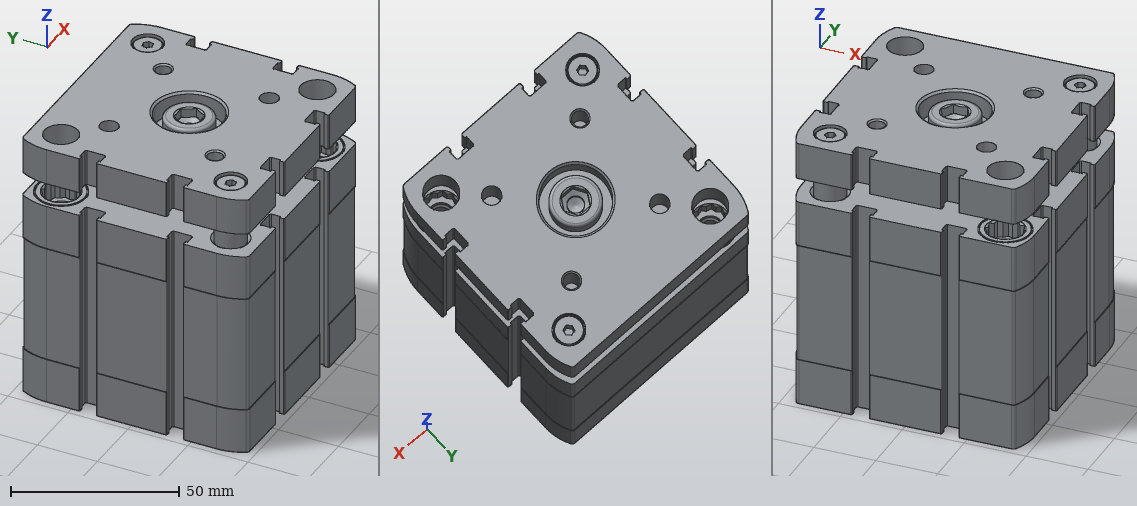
import cadquery as cq
import math

SIDE = 75.5
TOTAL_HEIGHT = 89.0
BODY_HEIGHT = 69.0
PLATE_THICKNESS = 12.0
PLATE_BOTTOM = TOTAL_HEIGHT - PLATE_THICKNESS
HALF_SIDE = SIDE / 2

CORNER_ARC_START = 28.4
CORNER_ARC_RADIUS = 18.0
CORNER_FILLET = 1.3

CAP_HEIGHT = 15.0
BARREL_INSET = 0.25

SLOT_OFFSET = 14.5
SLOT_MOUTH = 5.5
SLOT_WIDTH = 6.8
SLOT_DEPTH = 5.1
SLOT_LIP = 1.6
SLOT_CORNER_CHAMFER = 0.4
SLOT_MOUTH_CHAMFER = 0.3

CORNER_OFFSET = 80.0 / 2 / math.sqrt(2)
ROD_CORNERS = [(-CORNER_OFFSET, -CORNER_OFFSET), (CORNER_OFFSET, CORNER_OFFSET)]
SCREW_CORNERS = [(-CORNER_OFFSET, CORNER_OFFSET), (CORNER_OFFSET, -CORNER_OFFSET)]

GUIDE_DIAMETER = 10.0
GUIDE_BOTTOM = CAP_HEIGHT
GUIDE_TOP = TOTAL_HEIGHT - 0.6
GUIDE_END_DIAMETER = 9.2
GUIDE_END_CHAMFER = 0.3
GUIDE_RECESS_DEPTH = 1.35
GUIDE_HEX_FLATS = 3.0
GUIDE_HEX_DEPTH = 4.0
GUIDE_HEX_TURN = 15.0
GUIDE_MOUTH_DIAMETER = 12.0

SCREW_DIAMETER = 15.5
SCREW_SEAT_DIAMETER = 16.4
SCREW_GROOVE_DEPTH = 0.5
SCREW_HEX_FLATS = 10.6
SCREW_HEX_DEPTH = 6.0
SCREW_HEX_MOUTH = 12.4
SCREW_HEX_TURNS = (15.0, 45.0)
SCREW_BORE = 6.65
SCREW_BORE_MOUTH = 8.0
SCREW_BORE_MOUTH_DEPTH = 2.0

PISTON_DIAMETER = 16.0
PISTON_BOTTOM = CAP_HEIGHT
PISTON_TOP = TOTAL_HEIGHT - 1.2
PISTON_END_FILLET = 1.0
PISTON_FLATS = 13.0
FLATS_BOTTOM = BODY_HEIGHT + 1.4
FLATS_RUNOUT = 0.8
PISTON_HEX_FLATS = 8.0
PISTON_HEX_DEPTH = 3.2
PISTON_HEX_MOUTH = 9.4
PISTON_MOUTH_SLOPE = 0.5
PISTON_CONE_SLOPE = 0.6
PISTON_DRILL_DIAMETER = 5.3
PISTON_DRILL_DEPTH = 1.0

CENTRE_BORE = 22.0
CENTRE_BORE_CHAMFER = 0.7
CENTRE_BORE_DEPTH = 7.0
ACCESS_HOLE = 11.0
FIXING_OFFSET = 50.0 / 2 / math.sqrt(2)
DOWEL_HOLE = 6.0
THREAD_HOLE = 5.0
THREAD_MOUTH = 6.0

CENTRE = [(0, 0)]


def square_prism(bottom, height, inset=0.0):
    """Upright block with the rounded square outline, moved inwards by inset."""
    half = HALF_SIDE - inset
    radius = CORNER_ARC_RADIUS - inset
    end_angle = math.asin((half - CORNER_ARC_START) / radius)

    def arc_point(angle):
        x = half - radius * (1 - math.cos(angle))
        y = CORNER_ARC_START + radius * math.sin(angle)
        return x, y

    mid_x, mid_y = arc_point(end_angle / 2)
    end_x, end_y = arc_point(end_angle)
    block = (
        cq.Workplane("XY", origin=(0, 0, bottom))
        .moveTo(end_x, -end_y)
        .threePointArc((mid_x, -mid_y), (half, -CORNER_ARC_START))
        .lineTo(half, CORNER_ARC_START)
        .threePointArc((mid_x, mid_y), (end_x, end_y))
        .lineTo(-end_x, end_y)
        .threePointArc((-mid_x, mid_y), (-half, CORNER_ARC_START))
        .lineTo(-half, -CORNER_ARC_START)
        .threePointArc((-mid_x, -mid_y), (-end_x, -end_y))
        .close()
        .extrude(height)
    )
    corner_edges = block.edges("|Z and (>Y or <Y)")
    return corner_edges.fillet(CORNER_FILLET - inset)


def t_slots(bottom, height):
    """Cutters for the six T-slots: two each on the -Y, -X and +X faces."""
    half_mouth = SLOT_MOUTH / 2
    half_flare = half_mouth + SLOT_MOUTH_CHAMFER
    undercut_depth = SLOT_DEPTH - SLOT_LIP
    undercut = (
        cq.Workplane("XY")
        .rect(SLOT_WIDTH, undercut_depth)
        .extrude(height)
        .edges("|Z and >Y")
        .chamfer(SLOT_CORNER_CHAMFER)
        .translate((0, SLOT_LIP + undercut_depth / 2 - HALF_SIDE, 0))
    )
    mouth = (
        cq.Workplane("XY", origin=(0, -HALF_SIDE, 0))
        .moveTo(-half_flare, 0)
        .lineTo(-half_mouth, SLOT_MOUTH_CHAMFER)
        .lineTo(-half_mouth, SLOT_DEPTH)
        .lineTo(half_mouth, SLOT_DEPTH)
        .lineTo(half_mouth, SLOT_MOUTH_CHAMFER)
        .lineTo(half_flare, 0)
        .close()
        .extrude(height)
    )
    slot = undercut.union(mouth)
    cutters = cq.Workplane("XY")
    for turn in (-90, 0, 90):
        for offset in (-SLOT_OFFSET, SLOT_OFFSET):
            placed = slot.translate((offset, 0, bottom)).rotate((0, 0, 0), (0, 0, 1), turn)
            cutters = cutters.add(placed)
    return cutters.combine()


def cylinders(points, diameter, bottom, top):
    """Upright cylinders at the given points."""
    base = cq.Workplane("XY", origin=(0, 0, bottom))
    return base.pushPoints(points).circle(diameter / 2).extrude(top - bottom)


def cones(points, lower_diameter, upper_diameter, top, slope=1.0):
    """Upright cones ending at top; slope is their height per unit of radius."""
    depth = abs(upper_diameter - lower_diameter) / 2 * slope
    cone = cq.Solid.makeCone(lower_diameter / 2, upper_diameter / 2, depth)
    placed = cq.Workplane("XY", origin=(0, 0, top - depth)).pushPoints(points)
    return placed.eachpoint(lambda location: cone.moved(location), combine=False).combine()


def hex_prisms(points, flats, depth, top, turn=0.0):
    """Upright hexagonal prisms ending at top; turn is the angle of their first corner."""
    corner_diameter = flats / math.cos(math.pi / 6)
    prism = cq.Workplane("XY").polygon(6, corner_diameter).extrude(depth)
    prism = prism.rotate((0, 0, 0), (0, 0, 1), turn).val()
    placed = cq.Workplane("XY", origin=(0, 0, top - depth)).pushPoints(points)
    return placed.eachpoint(lambda location: prism.moved(location), combine=False).combine()


def make_housing():
    """Cylinder housing: barrel, end caps, bearing screws and rod holes."""
    barrel_top = BODY_HEIGHT - CAP_HEIGHT
    housing = square_prism(0, CAP_HEIGHT)
    housing = housing.union(square_prism(CAP_HEIGHT, barrel_top - CAP_HEIGHT, BARREL_INSET))
    housing = housing.union(square_prism(barrel_top, CAP_HEIGHT))
    housing = housing.cut(t_slots(0, BODY_HEIGHT))

    housing = housing.cut(cylinders(CENTRE, PISTON_DIAMETER, PISTON_BOTTOM, BODY_HEIGHT))
    housing = housing.cut(cylinders(ROD_CORNERS, GUIDE_DIAMETER, GUIDE_BOTTOM, BODY_HEIGHT))
    housing = housing.cut(cones(ROD_CORNERS, GUIDE_DIAMETER, GUIDE_MOUTH_DIAMETER, BODY_HEIGHT))

    groove_bottom = BODY_HEIGHT - SCREW_GROOVE_DEPTH
    groove = cylinders(SCREW_CORNERS, SCREW_SEAT_DIAMETER, groove_bottom, BODY_HEIGHT)
    groove = groove.cut(cylinders(SCREW_CORNERS, SCREW_DIAMETER, groove_bottom, BODY_HEIGHT))
    housing = housing.cut(groove)
    for turn in SCREW_HEX_TURNS:
        socket = hex_prisms(SCREW_CORNERS, SCREW_HEX_FLATS, SCREW_HEX_DEPTH, BODY_HEIGHT, turn)
        housing = housing.cut(socket)
    housing = housing.cut(cones(SCREW_CORNERS, SCREW_BORE, SCREW_HEX_MOUTH, BODY_HEIGHT))
    socket_floor = BODY_HEIGHT - SCREW_HEX_DEPTH
    step = socket_floor - SCREW_BORE_MOUTH_DEPTH
    housing = housing.cut(cylinders(SCREW_CORNERS, SCREW_BORE_MOUTH, step, socket_floor))
    housing = housing.cut(cones(SCREW_CORNERS, SCREW_BORE, SCREW_BORE_MOUTH, step))
    return housing.cut(cylinders(SCREW_CORNERS, SCREW_BORE, 0, BODY_HEIGHT))


def make_piston_rod():
    """Piston rod with wrench flats, hexagon socket and rounded end."""
    rod = cylinders(CENTRE, PISTON_DIAMETER, PISTON_BOTTOM, PISTON_TOP)
    rod = rod.faces(">Z").edges().fillet(PISTON_END_FILLET)
    socket_floor = PISTON_TOP - PISTON_HEX_DEPTH
    rod = rod.cut(hex_prisms(CENTRE, PISTON_HEX_FLATS, PISTON_HEX_DEPTH, PISTON_TOP))
    rod = rod.cut(cones(CENTRE, 0, PISTON_HEX_MOUTH, PISTON_TOP, PISTON_MOUTH_SLOPE))

    cone_diameter = PISTON_HEX_FLATS / math.cos(math.pi / 6)
    drill_top = socket_floor - (cone_diameter - PISTON_DRILL_DIAMETER) / 2 * PISTON_CONE_SLOPE
    drill_bottom = drill_top - PISTON_DRILL_DEPTH
    rod = rod.cut(cones(CENTRE, PISTON_DRILL_DIAMETER, cone_diameter, socket_floor, PISTON_CONE_SLOPE))
    rod = rod.cut(cylinders(CENTRE, PISTON_DRILL_DIAMETER, drill_bottom, drill_top))
    rod = rod.cut(cones(CENTRE, 0, PISTON_DRILL_DIAMETER, drill_bottom, PISTON_CONE_SLOPE))

    flat_y = PISTON_FLATS / 2
    surface_y = PISTON_DIAMETER / 2
    flat = (
        cq.Workplane("YZ")
        .moveTo(flat_y, PLATE_BOTTOM)
        .lineTo(flat_y, FLATS_BOTTOM)
        .lineTo(surface_y, FLATS_BOTTOM - FLATS_RUNOUT)
        .lineTo(surface_y, PLATE_BOTTOM)
        .close()
        .extrude(surface_y, both=True)
    )
    rod = rod.cut(flat).cut(flat.mirror("XZ"))
    return rod


def make_moving_unit():
    """Front plate with the piston rod and both guide rods."""
    plate = square_prism(PLATE_BOTTOM, PLATE_THICKNESS).cut(t_slots(PLATE_BOTTOM, PLATE_THICKNESS))
    bore_floor = TOTAL_HEIGHT - CENTRE_BORE_DEPTH
    plate = plate.cut(cylinders(CENTRE, CENTRE_BORE, bore_floor, TOTAL_HEIGHT))
    plate = plate.cut(cylinders(CENTRE, PISTON_DIAMETER, PLATE_BOTTOM, TOTAL_HEIGHT))
    bore_mouth = CENTRE_BORE + 2 * CENTRE_BORE_CHAMFER
    plate = plate.cut(cones(CENTRE, CENTRE_BORE, bore_mouth, TOTAL_HEIGHT))
    plate = plate.cut(cylinders(SCREW_CORNERS, ACCESS_HOLE, PLATE_BOTTOM, TOTAL_HEIGHT))

    dowels = [(-FIXING_OFFSET, FIXING_OFFSET), (FIXING_OFFSET, -FIXING_OFFSET)]
    threads = [(-FIXING_OFFSET, -FIXING_OFFSET), (FIXING_OFFSET, FIXING_OFFSET)]
    plate = plate.cut(cylinders(dowels, DOWEL_HOLE, PLATE_BOTTOM, TOTAL_HEIGHT))
    plate = plate.cut(cylinders(threads, THREAD_HOLE, PLATE_BOTTOM, TOTAL_HEIGHT))
    plate = plate.cut(cones(threads, THREAD_HOLE, THREAD_MOUTH, TOTAL_HEIGHT))

    recess_floor = TOTAL_HEIGHT - GUIDE_RECESS_DEPTH
    plate = plate.cut(cylinders(ROD_CORNERS, GUIDE_DIAMETER, recess_floor, TOTAL_HEIGHT))
    guides = cylinders(ROD_CORNERS, GUIDE_DIAMETER, GUIDE_BOTTOM, recess_floor)
    guide_ends = cylinders(ROD_CORNERS, GUIDE_END_DIAMETER, recess_floor, GUIDE_TOP)
    guide_ends = guide_ends.faces(">Z").edges().chamfer(GUIDE_END_CHAMFER)
    sockets = hex_prisms(ROD_CORNERS, GUIDE_HEX_FLATS, GUIDE_HEX_DEPTH, GUIDE_TOP, GUIDE_HEX_TURN)
    return plate.union(make_piston_rod()).union(guides).union(guide_ends).cut(sockets)


housing = make_housing()
moving_unit = make_moving_unit()

result = cq.Compound.makeCompound([housing.val(), moving_unit.val()])